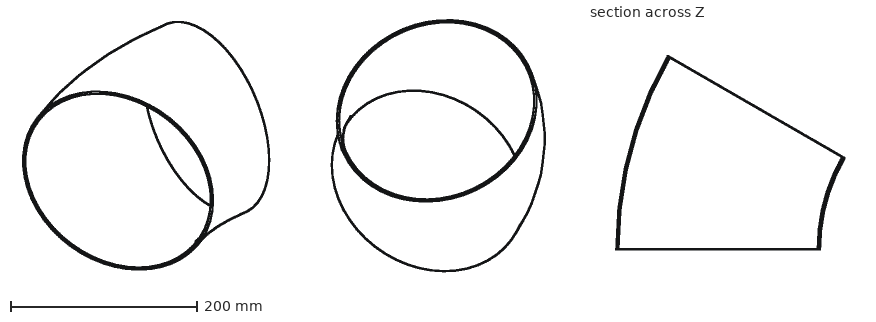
import cadquery as cq
import math

overall_length = 245.3
bend_angle = 30.0
bend_radius = 305.1
wall = 2.7

bend_cosine = math.cos(math.radians(bend_angle))
outer_radius = (overall_length - bend_radius * (1 - bend_cosine)) / (1 + bend_cosine)
inner_radius = outer_radius - wall

start_ring = cq.Workplane("XZ").circle(outer_radius).circle(inner_radius)

axis_start = (bend_radius, 0)
axis_end = (bend_radius, -1)
result = start_ring.revolve(bend_angle, axis_start, axis_end)